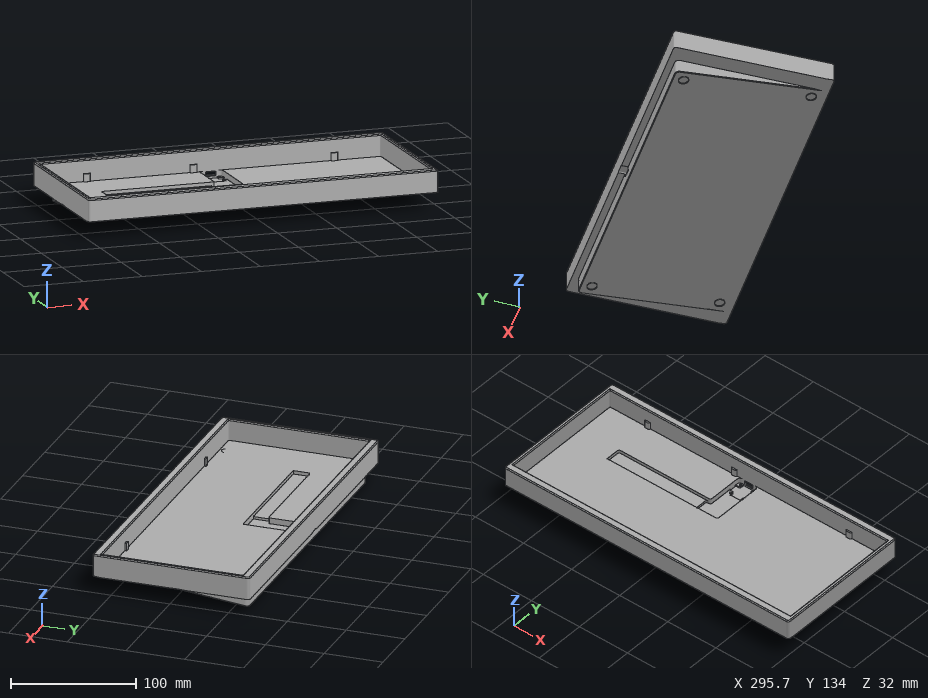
import cadquery as cq
import math

LENGTH = 295.7
WIDTH = 134.0
TOTAL_HEIGHT = 32.0
TRAY_HEIGHT = 19.2
TRAY_CORNER_RADIUS = 2.5
RIM_CHAMFER = 1.0

END_WALL = 3.8
SIDE_WALL = 7.0
FLOOR_Z = 1.2
CAVITY_CORNER_RADIUS = 1.0
CAVITY_LENGTH = LENGTH - 2 * END_WALL
CAVITY_WIDTH = WIDTH - 2 * SIDE_WALL
CAVITY_BACK = CAVITY_WIDTH / 2

WEDGE_LENGTH = 268.5
WEDGE_INSET = 5.5
WEDGE_CORNER_RADIUS = 3.5
WEDGE_EDGE_CHAMFER = 0.5
TILT_ANGLE = 6.0
WEDGE_BACK = WIDTH / 2 - WEDGE_INSET
CHAMFER_RISE = WEDGE_EDGE_CHAMFER * math.sin(math.radians(TILT_ANGLE))
WEDGE_DEPTH = TOTAL_HEIGHT - TRAY_HEIGHT + CHAMFER_RISE

FOOT_DIAMETER = 8.3
FOOT_DEPTH = 1.0
FOOT_X = 124.8
FOOT_FRONT_Y = -54.5
FOOT_BACK_Y = 52.0

ARM_LEFT = -105.0
ARM_WIDTH = 14.5
ARM_DEPTH = 3.0
BAY_LEFT = -9.5
BAY_WIDTH = 19.2
BAY_DEPTH = 5.0
CHANNEL_FRONT = 9.8
STEP_X = -14.0
CHANNEL_CORNER_RADIUS = 1.8
BAY_BACK_RADIUS = 2.7
CHANNEL_BACK = CHANNEL_FRONT + ARM_WIDTH
BAY_RIGHT = BAY_LEFT + BAY_WIDTH
BAY_CENTER = BAY_LEFT + BAY_WIDTH / 2
BAY_Z = FLOOR_Z - BAY_DEPTH

SEAT_FRONT = 43.2
SEAT_DEPTH = 1.2
PAD_SIZE = 4.5
PAD_CORNER_RADIUS = 1.5
PAD_SIDE_RADIUS = 1.0
SCREW_DIAMETER = 1.63
SCREW_DEPTH = 3.0
SCREW_OFFSET_X = 6.8
SCREW_FRONT_Y = 45.2
SCREW_BACK_Y = 58.0

PORT_WIDTH = 9.0
PORT_HEIGHT = 3.8
PORT_RADIUS = 1.2
PORT_TOP_Z = 0.5

RIB_HEIGHT = 6.5
RIB_REACH = 1.5
BACK_RIB_WIDTH = 5.5
BACK_RIB_RADIUS = 1.33
BACK_RIBS_X = (-104.7, -14.5, 104.7)
FRONT_RIB_WIDTH = 3.8
FRONT_RIBS_X = (-90.5, 90.5)


def block(x_range, y_range, z_range):
    """Box spanning the given (low, high) ranges."""
    size = [high - low for low, high in (x_range, y_range, z_range)]
    return cq.Workplane("XY").box(*size, centered=False).translate((x_range[0], y_range[0], z_range[0]))


def make_tray():
    tray = cq.Workplane("XY").box(LENGTH, WIDTH, TRAY_HEIGHT, centered=(True, True, False))
    tray = tray.edges("|Z").fillet(TRAY_CORNER_RADIUS)
    return tray.faces(">Z").edges().chamfer(RIM_CHAMFER)


def sloped_plane():
    """Workplane on the sloped underside, normal pointing up into the part."""
    return cq.Workplane("XY").transformed(
        offset=(0, WEDGE_BACK, -WEDGE_DEPTH), rotate=(-TILT_ANGLE, 0, 0)
    )


def below_slope():
    """Everything under the sloped underside."""
    return sloped_plane().rect(2 * LENGTH, 4 * WIDTH).extrude(-TOTAL_HEIGHT)


def make_wedge():
    half = WEDGE_LENGTH / 2
    front = -WIDTH / 2 + TRAY_CORNER_RADIUS
    wedge = block((-half, half), (front, WEDGE_BACK), (-WEDGE_DEPTH, FLOOR_Z))
    wedge = wedge.edges("|Z and >Y").fillet(WEDGE_CORNER_RADIUS)
    wedge = wedge.cut(below_slope())
    sloped_edges = wedge.faces("<Z").edges("not <Y")
    return sloped_edges.chamfer(WEDGE_EDGE_CHAMFER)


def make_cavity():
    cavity = cq.Workplane("XY", origin=(0, 0, FLOOR_Z)).box(
        CAVITY_LENGTH, CAVITY_WIDTH, TRAY_HEIGHT - FLOOR_Z, centered=(True, True, False)
    )
    cavity = cavity.edges("|Z").fillet(CAVITY_CORNER_RADIUS)
    mouth = (
        cq.Workplane("XY", origin=(0, 0, TRAY_HEIGHT))
        .rect(CAVITY_LENGTH + 2 * RIM_CHAMFER, CAVITY_WIDTH + 2 * RIM_CHAMFER)
        .extrude(-RIM_CHAMFER, taper=45)
    )
    return cavity.union(mouth)


def round_corner(solid, x, y, radius):
    """Fillet the vertical edge of the solid nearest to (x, y)."""
    middle_z = solid.val().Center().z
    corner = cq.selectors.NearestToPointSelector((x, y, middle_z))
    return solid.edges("|Z").edges(corner).fillet(radius)


def make_channel():
    arm = block((ARM_LEFT, BAY_CENTER), (CHANNEL_FRONT, CHANNEL_BACK), (FLOOR_Z - ARM_DEPTH, FLOOR_Z))
    arm = round_corner(arm, ARM_LEFT, CHANNEL_BACK, CHANNEL_CORNER_RADIUS)
    bay = block((BAY_LEFT, BAY_RIGHT), (CHANNEL_FRONT, CAVITY_BACK), (BAY_Z, FLOOR_Z))
    bay = bay.union(block((STEP_X, BAY_RIGHT), (CHANNEL_FRONT, CHANNEL_BACK), (BAY_Z, FLOOR_Z)))
    for x, y in ((STEP_X, CHANNEL_BACK), (BAY_LEFT, CHANNEL_BACK), (BAY_RIGHT, CHANNEL_FRONT)):
        bay = round_corner(bay, x, y, CHANNEL_CORNER_RADIUS)
    for x in (BAY_LEFT, BAY_RIGHT):
        bay = round_corner(bay, x, CAVITY_BACK, BAY_BACK_RADIUS)
    return bay.union(arm)


def make_seat():
    z_range = (BAY_Z - SEAT_DEPTH, BAY_Z)
    pad_front = SEAT_FRONT + PAD_SIZE
    pad_back = CAVITY_BACK - PAD_SIZE
    seat = block((BAY_LEFT + PAD_SIZE, BAY_RIGHT - PAD_SIZE), (SEAT_FRONT, CAVITY_BACK), z_range)
    seat = seat.union(block((BAY_LEFT, BAY_RIGHT), (pad_front, pad_back), z_range))
    for y in (pad_front, pad_back):
        for x in (BAY_LEFT + PAD_SIZE, BAY_RIGHT - PAD_SIZE):
            seat = round_corner(seat, x, y, PAD_CORNER_RADIUS)
        for x in (BAY_LEFT, BAY_RIGHT):
            seat = round_corner(seat, x, y, PAD_SIDE_RADIUS)
    return seat


def make_screw_holes():
    spots = [
        (BAY_CENTER + side * SCREW_OFFSET_X, y)
        for side in (-1, 1)
        for y in (SCREW_FRONT_Y, SCREW_BACK_Y)
    ]
    holes = cq.Workplane("XY", origin=(0, 0, BAY_Z)).pushPoints(spots)
    return holes.circle(SCREW_DIAMETER / 2).extrude(-SCREW_DEPTH)


def make_port():
    port = block(
        (BAY_CENTER - PORT_WIDTH / 2, BAY_CENTER + PORT_WIDTH / 2),
        (CAVITY_BACK - BAY_BACK_RADIUS, WIDTH / 2),
        (PORT_TOP_Z - PORT_HEIGHT, PORT_TOP_Z),
    )
    return port.edges("|Y").fillet(PORT_RADIUS)


def make_foot_recesses():
    slope_stretch = 1 / math.cos(math.radians(TILT_ANGLE))
    spots = [
        (x, (y - WEDGE_BACK) * slope_stretch)
        for x in (-FOOT_X, FOOT_X)
        for y in (FOOT_FRONT_Y, FOOT_BACK_Y)
    ]
    recesses = sloped_plane().pushPoints(spots)
    return recesses.circle(FOOT_DIAMETER / 2).extrude(FOOT_DEPTH)


def rib(x, y_range, width):
    return block((x - width / 2, x + width / 2), y_range, (FLOOR_Z, FLOOR_Z + RIB_HEIGHT))


def make_back_rib(x):
    back_rib = rib(x, (CAVITY_BACK - RIB_REACH, CAVITY_BACK), BACK_RIB_WIDTH)
    return back_rib.edges("|Z and <Y").fillet(BACK_RIB_RADIUS)


def make_front_rib(x):
    return rib(x, (-CAVITY_BACK, RIB_REACH - CAVITY_BACK), FRONT_RIB_WIDTH)


result = make_tray().cut(below_slope()).union(make_wedge())
result = result.cut(make_cavity())
result = result.cut(make_channel())
result = result.cut(make_seat())
result = result.cut(make_screw_holes())
result = result.cut(make_port())
result = result.cut(make_foot_recesses())
for rib_x in BACK_RIBS_X:
    result = result.union(make_back_rib(rib_x))
for rib_x in FRONT_RIBS_X:
    result = result.union(make_front_rib(rib_x))